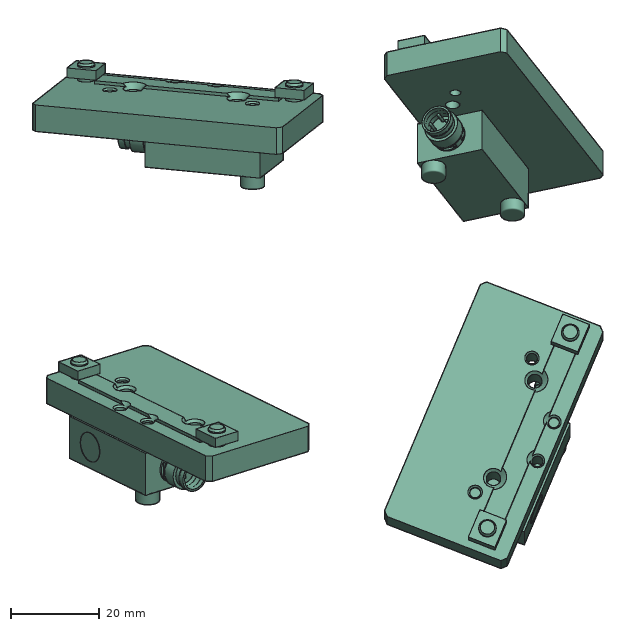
import cadquery as cq
import math

OUTER_LENGTH = 61.45
TILT = 3.1

PLATE_WIDTH = 30.05
PLATE_THICKNESS = 6.25
PLATE_CORNER = 1.1

STRIP_LENGTH = 44.25
STRIP_WIDTH = 5.2
STRIP_HEIGHT = 0.75

PIN_ROW_Y = 8.6
PIN_SPACING = 50.0
PIN_DIAMETER = 4.0
PIN_CHAMFER_HEIGHT = 0.55
PIN_CHAMFER_WIDTH = 0.35
PIN_TIP = 0.85

CLAMP_LENGTH = 7.0
CLAMP_WIDTH = 6.5
CLAMP_THICKNESS = 2.3
CLAMP_GAP = 1.05

LARGE_HOLE_DIAMETER = 3.25
LARGE_SINK_DIAMETER = 4.5
LARGE_HOLE_X = 12.5
LARGE_HOLE_Y = 5.0

SMALL_HOLE_DIAMETER = 2.45
SMALL_SINK_DIAMETER = 3.25
SMALL_BACK_X = 5.0
SMALL_BACK_Y = 12.7
SMALL_FRONT_X = 17.15
SMALL_FRONT_Y = 2.4
SCREW_END_DEPTH = 0.85

BOX_LENGTH = 27.7
BOX_WIDTH = 15.9
BOX_HEIGHT = 10.4
BOX_BACK_OVERHANG = 0.55

SCREW_HEAD_DIAMETER = 5.5
SCREW_HEAD_HEIGHT = 2.95
SCREW_HEAD_ROUND = 0.3

COVER_DIAMETER = 7.0
COVER_DEPTH = 0.1
COVER_X = LARGE_HOLE_X

CONNECTOR_NECK = (1.85, 7.5)
CONNECTOR_COLLAR = (5.1, 8.0)
CONNECTOR_GROOVE = (6.6, 6.5)
CONNECTOR_TIP = (8.05, 7.0)
NECK_FLAT_START = 0.5
NECK_FLAT_END = 1.5
NECK_ACROSS_FLATS = 6.4
SOCKET_DIAMETER = 6.0
SOCKET_DEPTH = 4.0
CONTACT_DIAMETER = 0.7
CONTACT_LENGTH = 3.0
CONTACT_ROUND = 0.3
CONTACT_RADIUS = 1.95
CONTACT_ANGLES = (0, 90, 180)

tilt_angle = math.radians(TILT)
straight_end = PLATE_WIDTH - 2 * PLATE_CORNER
plate_length = (OUTER_LENGTH - straight_end * math.sin(tilt_angle)) / math.cos(tilt_angle)
plate_top = PLATE_THICKNESS
strip_top = plate_top + STRIP_HEIGHT
clamp_bottom = plate_top + CLAMP_GAP
pin_top = clamp_bottom + CLAMP_THICKNESS + PIN_TIP

screw_points = [(-SMALL_BACK_X, SMALL_BACK_Y), (SMALL_FRONT_X, SMALL_FRONT_Y)]
through_points = [(SMALL_BACK_X, SMALL_BACK_Y), (-SMALL_FRONT_X, SMALL_FRONT_Y)]
large_points = [(-LARGE_HOLE_X, LARGE_HOLE_Y), (LARGE_HOLE_X, LARGE_HOLE_Y)]
pin_points = [(-PIN_SPACING / 2, PIN_ROW_Y), (PIN_SPACING / 2, PIN_ROW_Y)]

box_back = PLATE_WIDTH / 2 + BOX_BACK_OVERHANG
box_centre_x = (SMALL_FRONT_X - SMALL_BACK_X) / 2
box_centre_y = box_back - BOX_WIDTH / 2
box_left = box_centre_x - BOX_LENGTH / 2
box_middle_z = -BOX_HEIGHT / 2


def countersunk_hole(hole_diameter, sink_diameter, depth):
    """Cutter for a hole whose 45 degree countersink runs on up to the strip surface."""
    hole_radius = hole_diameter / 2
    sink_radius = sink_diameter / 2
    return (
        cq.Workplane("XZ")
        .moveTo(0, plate_top - depth)
        .lineTo(hole_radius, plate_top - depth)
        .lineTo(hole_radius, plate_top - (sink_radius - hole_radius))
        .lineTo(sink_radius + STRIP_HEIGHT, strip_top)
        .lineTo(0, strip_top)
        .close()
        .revolve(360, (0, 0, 0), (0, 1, 0))
    )


def make_plate():
    plate = (
        cq.Workplane("XY")
        .rect(plate_length, PLATE_WIDTH)
        .extrude(PLATE_THICKNESS)
        .edges("|Z")
        .chamfer(PLATE_CORNER)
    )
    strip = (
        cq.Workplane("XY", origin=(0, PIN_ROW_Y, plate_top))
        .rect(STRIP_LENGTH, STRIP_WIDTH)
        .extrude(STRIP_HEIGHT)
    )
    plate = plate.union(strip)

    large_hole = countersunk_hole(LARGE_HOLE_DIAMETER, LARGE_SINK_DIAMETER, PLATE_THICKNESS)
    small_hole = countersunk_hole(SMALL_HOLE_DIAMETER, SMALL_SINK_DIAMETER, PLATE_THICKNESS)
    screw_hole = countersunk_hole(SMALL_HOLE_DIAMETER, SMALL_SINK_DIAMETER, SCREW_END_DEPTH)
    for cutter, points in (
        (large_hole, large_points),
        (small_hole, through_points),
        (screw_hole, screw_points),
    ):
        for x, y in points:
            plate = plate.cut(cutter.translate((x, y, 0)))
    return plate


def make_clamps():
    """Two rectangular clamps, each carried by a chamfered pin."""
    pins = (
        cq.Workplane("XY", origin=(0, 0, plate_top))
        .pushPoints(pin_points)
        .circle(PIN_DIAMETER / 2)
        .extrude(pin_top - plate_top)
        .faces(">Z")
        .edges()
        .chamfer(PIN_CHAMFER_HEIGHT, PIN_CHAMFER_WIDTH)
    )
    blocks = (
        cq.Workplane("XY", origin=(0, 0, clamp_bottom))
        .pushPoints(pin_points)
        .rect(CLAMP_LENGTH, CLAMP_WIDTH)
        .extrude(CLAMP_THICKNESS)
    )
    return pins.union(blocks)


def make_box():
    """Housing below the plate with a round recess in its back and two screw heads."""
    box = (
        cq.Workplane("XY", origin=(box_centre_x, box_centre_y, 0))
        .rect(BOX_LENGTH, BOX_WIDTH)
        .extrude(-BOX_HEIGHT)
    )
    cover = (
        cq.Workplane("XZ", origin=(COVER_X, box_back, box_middle_z))
        .circle(COVER_DIAMETER / 2)
        .extrude(COVER_DEPTH)
    )
    screw_heads = (
        cq.Workplane("XY", origin=(0, 0, -BOX_HEIGHT))
        .pushPoints(screw_points)
        .circle(SCREW_HEAD_DIAMETER / 2)
        .extrude(-SCREW_HEAD_HEIGHT)
        .faces("<Z")
        .edges()
        .fillet(SCREW_HEAD_ROUND)
    )
    return box.cut(cover).union(screw_heads)


def connector_plane(distance):
    """Work plane on the connector axis, looking outwards from the left face of the box."""
    return cq.Workplane(
        cq.Plane(
            origin=(box_left - distance, box_centre_y, box_middle_z),
            xDir=(0, 1, 0),
            normal=(-1, 0, 0),
        )
    )


def make_connector():
    sections = (CONNECTOR_NECK, CONNECTOR_COLLAR, CONNECTOR_GROOVE, CONNECTOR_TIP)
    start = 0
    connector = cq.Workplane()
    for end, diameter in sections:
        section = connector_plane(start).circle(diameter / 2).extrude(end - start)
        connector = connector.union(section)
        start = end

    flat_length = NECK_FLAT_END - NECK_FLAT_START
    flat_plane = connector_plane(NECK_FLAT_START)
    neck_band = flat_plane.circle(CONNECTOR_NECK[1] / 2).extrude(flat_length)
    square = flat_plane.rect(NECK_ACROSS_FLATS, NECK_ACROSS_FLATS).extrude(flat_length)
    connector = connector.cut(neck_band.cut(square))

    socket_floor = CONNECTOR_TIP[0] - SOCKET_DEPTH
    socket = connector_plane(socket_floor).circle(SOCKET_DIAMETER / 2).extrude(SOCKET_DEPTH)
    contact_points = [
        (
            CONTACT_RADIUS * math.cos(math.radians(angle)),
            -CONTACT_RADIUS * math.sin(math.radians(angle)),
        )
        for angle in CONTACT_ANGLES
    ]
    contacts = (
        connector_plane(socket_floor)
        .pushPoints(contact_points)
        .circle(CONTACT_DIAMETER / 2)
        .extrude(CONTACT_LENGTH)
        .faces("<X")
        .edges()
        .fillet(CONTACT_ROUND)
    )
    return connector.cut(socket).union(contacts)


assembly = make_plate().union(make_clamps()).union(make_box()).union(make_connector())
result = assembly.rotate((0, 0, 0), (0, 0, 1), TILT)